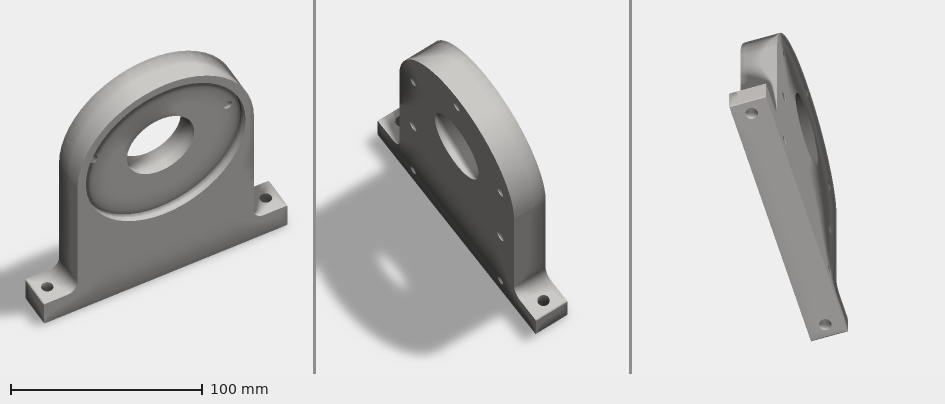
import cadquery as cq
import math

thickness = 20.0
height = 147.5
foot_length = 145.0
foot_height = 15.0
body_width = 105.0
inner_fillet = 6.0
foot_corner_chamfer = 0.5

crown_radius = body_width / 2
bore_height = height - crown_radius
bore_diameter = 40.0
recess_diameter = 95.0
web_thickness = 14.5

hole_offset = 40.0
screw_diameter = 5.0
top_hole_height = 137.6
side_hole_height = 105.0
lower_blind_height = 10.0
upper_blind_height = 57.5
upper_blind_diameter = 6.0
blind_depth = 11.8
drill_tip_angle = 118.0

mount_diameter = 6.5
mount_offset = 65.0


def make_plate():
    """Arched plate standing on a wider foot."""
    foot = (
        cq.Workplane("XY")
        .box(thickness, foot_length, foot_height, centered=(True, True, False))
        .edges("|X")
        .chamfer(foot_corner_chamfer)
    )
    body = cq.Workplane("XY").box(thickness, body_width, bore_height, centered=(True, True, False))
    crown = x_cylinder(2 * crown_radius, 0, bore_height)
    plate = foot.union(body).union(crown)
    inner_corners = cq.selectors.BoxSelector(
        (-thickness, -body_width / 2 - foot_corner_chamfer, foot_height - foot_corner_chamfer),
        (thickness, body_width / 2 + foot_corner_chamfer, foot_height + foot_corner_chamfer),
    )
    return plate.edges("|X").edges(inner_corners).fillet(inner_fillet)


def x_cylinder(diameter, y, z, depth_from_face=0):
    """Cylinder along X, starting below the -X face and ending at the +X face."""
    return (
        cq.Workplane("YZ", origin=(depth_from_face - thickness / 2, y, z))
        .circle(diameter / 2)
        .extrude(thickness - depth_from_face)
    )


def blind_drill(diameter, y, z):
    """Blind hole from the -X face with a conical bottom."""
    radius = diameter / 2
    tip_length = radius / math.tan(math.radians(drill_tip_angle / 2))
    return (
        cq.Workplane("XY")
        .polyline([(0, 0), (0, radius), (blind_depth, radius), (blind_depth + tip_length, 0)])
        .close()
        .revolve(360, (0, 0, 0), (1, 0, 0))
        .translate((-thickness / 2, y, z))
    )


result = make_plate()
result = result.cut(x_cylinder(bore_diameter, 0, bore_height))
result = result.cut(x_cylinder(recess_diameter, 0, bore_height, web_thickness))
result = result.cut(x_cylinder(screw_diameter, 0, top_hole_height))

for side in (-1, 1):
    y = side * hole_offset
    result = result.cut(x_cylinder(screw_diameter, y, side_hole_height))
    result = result.cut(blind_drill(upper_blind_diameter, y, upper_blind_height))
    result = result.cut(blind_drill(screw_diameter, y, lower_blind_height))
    mount_hole = (
        cq.Workplane("XY", origin=(0, side * mount_offset, 0))
        .circle(mount_diameter / 2)
        .extrude(foot_height)
    )
    result = result.cut(mount_hole)